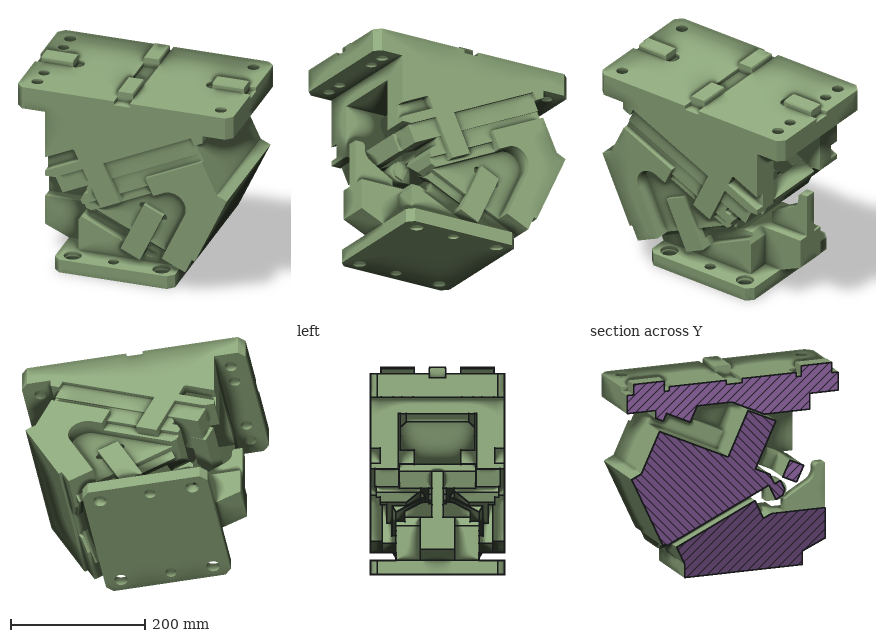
import cadquery as cq
import math


X_DIR = 0
Z_DIR = 90
SLOPE = 25
U_DIR = SLOPE
V_DIR = SLOPE + 90
P_DIR = -SLOPE
Q_DIR = 90 - SLOPE
ROOF_RISE = math.tan(math.radians(30))

LENGTH = 340
HALF_WIDTH = 100.0
HEIGHT = 309.0
CORNER_CHAMFER = 10.0

PLATE_TOP = 299.5
PLATE_BOTTOM = 264.2
KEY_LENGTH = 50.0
KEY_WIDTH = KEY_LENGTH / 2
KEY_SLOT_DEPTH = 6.5
KEY_CHAMFER = 2.5
CROSS_SLOT_X = -2.7
CROSS_KEY_Y = 59.5
END_KEY_X = 134.5
END_SLOT_ARC_X = 108.8
PLATE_HOLE_X = 144.5
SCREW_HOLE_Y = 74.8
SCREW_HOLE_DIAMETER = 18.0
DOWEL_Y = 44.5
DOWEL_DIAMETER = 17

DRIVER_HALF_LENGTH = 124.0
DRIVER_FOOT_Z = 157.8
DRIVER_SEAT_V = 188.7
DRIVER_LIP_V = 176.0
CHANNEL_HALF_WIDTH = 58.0
CHANNEL_CEILING_Z = 239.7
CHANNEL_CEILING_V = 238.7
CHANNEL_END_U = 163.2
SIDE_GROOVE_U = 17
SIDE_GROOVE_V = (202.5, 223.0)
SIDE_GROOVE_FILLET = 3.5
LEG_U = (17, 51)
LEG_FOOT_V = 122.5
RAIL_U = (-33.5, 205.0)
RAIL_OUTER_Y = 94.0
RAIL_SLOT_HALF_WIDTH = 34.5
STOP_U = (-38.8, -13.5)
STOP_HALF_WIDTH = 56.8
STOP_CLEARANCE = 0.7

FLANGE_TOP_V = 160.0
FLANGE_BOTTOM_V = 133.0
FLANGE_HALF_WIDTH = 91.5
STROKE_RELIEF_V = 157.8
STRIP_HALF_WIDTH = 85.5
POCKET_TOP_V = 118.0
WEB_HALF_WIDTH = 75.5
SLIDER_LEFT_U = -12.5
SLIDER_RIGHT_U = 204.7
SLIDER_LEFT_P = -116.0
SLIDER_BOTTOM_Q = 70.5
END_NOTCH_U = 4.0
END_NOTCH_V = 148.0
FACE_P = 79.2
FACE_Q = (95.2, 215.2)
FACE_RELIEF_P = 74.0
CHEEK_LEFT_U = 106.5
CHEEK_TOP_V = 147.5
POCKET_RIGHT_P = 33.3
POCKET_RADIUS = KEY_WIDTH

GROOVE_TOP_Q = 92.0
GROOVE_HALF_WIDTH = 25.0
GROOVE_SHOULDER_Q = 82.5
WEAR_P = (-91.5, 69.0)
WEAR_OUTER = (62.0, 60.2)
WEAR_INNER_Y = 18.5

HEAD_U = (33.0, 83.0)
HEAD_TOP_V = 236.0
HEAD_HALF_WIDTH = 55.5
HEAD_CHAMFER = 9.2
TONGUE_P = (-126.8, -107.0)
TONGUE_Q = (66.3, 89.8)
TONGUE_HALF_WIDTH = 13.0
TONGUE_CHAMFER = 6.8
NOSE_CENTRE = (-71.7, 119.7)
NOSE_RADIUS = 15.5
NOSE_RIGHT_X = -54.5
CLAW_P = (-29.5, 4.0)
CLAW_Q = (37.7, 124.8)
CLAW_Y = (68, 82.5)
HOOK_INNER_Y = 54.5
HOOK_TOP_Q = 49.5
RELIEF_RADIUS = 6.5

BASE_X = (-112.0, 78.0)
BASE_PLATE_TOP = 21.0
BASE_SCREW_X = (-87.0, 53.0)
BASE_HOLE_Y = 80.2
BASE_SCREW_DIAMETER = 20.0
COUNTERBORE_DIAMETER = 27.2
COUNTERBORE_DEPTH = 5.0
BASE_DOWEL_X = -22.8
STEM_LEFT_X = -149.3
STEM_FOOT_Z = 37.7
STEM_HALF_WIDTH = 25.5
RIB_HALF_WIDTH = 8.5
RIB_TOP_Z = 154.0
RIB_RIGHT_Z = 104.0
RIB_NECK_X = -133.0
RIB_TIP_RADIUS = 6.0
RIB_HOLLOW_RADIUS = 20.0
RIB_HOLLOW_TURN = 60
BLOCK_LEFT_X = -84.3
BLOCK_TOP_Z = 85
BLOCK_HALF_WIDTH = 62.0
BLOCK_CHAMFER = (7.8, 12.2)
BLOCK_TOP_Q = 50.5
CLAW_GROOVE_Q = 37.7
CLAW_GROOVE_WALL_Y = 48.5
CLAW_GROOVE_ARC_P = 8.5
ROOF_P = (-78.2, 61.2)
OVERHANG_P = -23.8
ROOF_RIDGE_Q = 82.5


def meet(dir_a, distance_a, dir_b, distance_b):
    """The XZ point that lies at the given distances along two measuring directions."""
    a = math.radians(dir_a)
    b = math.radians(dir_b)
    spread = math.sin(b - a)
    x = (distance_a * math.sin(b) - distance_b * math.sin(a)) / spread
    z = (distance_b * math.cos(a) - distance_a * math.cos(b)) / spread
    return (x, z)


def at_uv(u, v):
    return meet(U_DIR, u, V_DIR, v)


def at_pq(p, q):
    return meet(P_DIR, p, Q_DIR, q)


def profile(y_far):
    return cq.Workplane("XZ", origin=(0, y_far, 0))


def prism(points, y_near, y_far):
    """An XZ outline extruded along Y."""
    return profile(y_far).polyline(points).close().extrude(y_far - y_near)


def middle_prism(points, half_width):
    return prism(points, -half_width, half_width)


def bar(corner, first, second, y_near, y_far):
    """A block square to the sloped axes of `corner`, at_uv or at_pq."""
    points = [
        corner(first[0], second[0]),
        corner(first[1], second[0]),
        corner(first[1], second[1]),
        corner(first[0], second[1]),
    ]
    return prism(points, y_near, y_far)


def both_sides(shape):
    return shape.union(shape.mirror("XZ"))


def p_prism(outline, p_range):
    """A (Y, q) outline extruded along the base joint."""
    angle = math.radians(P_DIR)
    start_x, start_z = at_pq(p_range[0], 0)
    plane = cq.Plane(
        origin=(start_x, 0, start_z),
        xDir=(0, 1, 0),
        normal=(math.cos(angle), 0, math.sin(angle)),
    )
    return cq.Workplane(plane).polyline(outline).close().extrude(p_range[1] - p_range[0])


def roof_prism(half_outline, p_range):
    """A symmetric (Y, q) outline, given for Y > 0, extruded along the base joint."""
    mirrored = [(-y, q) for y, q in reversed(half_outline)]
    return p_prism(half_outline + mirrored, p_range)


def roof_q(y):
    """Height of the sliding roof face at distance y from the middle."""
    return WEAR_OUTER[1] + (WEAR_OUTER[0] - y) * ROOF_RISE


def upright_box(x_range, y_range, z_range):
    return cq.Workplane("XY").box(
        x_range[1] - x_range[0],
        y_range[1] - y_range[0],
        z_range[1] - z_range[0],
        centered=False,
    ).translate((x_range[0], y_range[0], z_range[0]))




def make_key():
    """A key along X, centred on the Z axis, standing on the slot floor."""
    height = HEIGHT - PLATE_TOP + KEY_SLOT_DEPTH
    key = cq.Workplane("XY").box(KEY_LENGTH, KEY_WIDTH, height, centered=(True, True, False))
    key = key.faces(">Z").edges("|X").chamfer(KEY_CHAMFER, KEY_CHAMFER / 2)
    return key.translate((0, 0, PLATE_TOP - KEY_SLOT_DEPTH))


def make_driver_plate():
    plate = upright_box(
        (-LENGTH / 2, LENGTH / 2), (-HALF_WIDTH, HALF_WIDTH), (PLATE_BOTTOM, PLATE_TOP)
    ).edges("|Z").chamfer(CORNER_CHAMFER)
    top = cq.Workplane("XY", origin=(0, 0, PLATE_TOP))
    cross_slot = top.center(CROSS_SLOT_X, 0).rect(KEY_WIDTH, 2 * HALF_WIDTH)
    plate = plate.cut(cross_slot.extrude(-KEY_SLOT_DEPTH))
    for side in (-1, 1):
        end_slot = top.center(side * LENGTH / 2, 0).slot2D(
            LENGTH - 2 * END_SLOT_ARC_X + KEY_WIDTH, KEY_WIDTH
        )
        plate = plate.cut(end_slot.extrude(-KEY_SLOT_DEPTH))
        plate = plate.union(make_key().translate((side * END_KEY_X, 0, 0)))
        cross_key = make_key().rotate((0, 0, 0), (0, 0, 1), 90)
        plate = plate.union(cross_key.translate((CROSS_SLOT_X, side * CROSS_KEY_Y, 0)))
    return plate


def drill_driver_plate(driver):
    screws = [(i * PLATE_HOLE_X, j * SCREW_HOLE_Y) for i in (-1, 1) for j in (-1, 1)]
    dowels = [(-PLATE_HOLE_X, j * DOWEL_Y) for j in (-1, 1)]
    below = cq.Workplane("XY", origin=(0, 0, PLATE_BOTTOM))
    depth = PLATE_TOP - PLATE_BOTTOM
    driver = driver.cut(below.pushPoints(screws).circle(SCREW_HOLE_DIAMETER / 2).extrude(depth))
    return driver.cut(below.pushPoints(dowels).circle(DOWEL_DIAMETER / 2).extrude(depth))


def make_driver_body():
    """Body under the plate, with a channel for the slider head and a groove in each side."""
    outline = [
        (-DRIVER_HALF_LENGTH, PLATE_BOTTOM),
        (-DRIVER_HALF_LENGTH, DRIVER_FOOT_Z),
        meet(Z_DIR, DRIVER_FOOT_Z, V_DIR, DRIVER_SEAT_V),
        at_uv(RAIL_U[1], DRIVER_SEAT_V),
        at_uv(RAIL_U[1], DRIVER_LIP_V),
        meet(X_DIR, DRIVER_HALF_LENGTH, V_DIR, DRIVER_LIP_V),
        (DRIVER_HALF_LENGTH, PLATE_BOTTOM),
    ]
    channel = [
        meet(X_DIR, -DRIVER_HALF_LENGTH, V_DIR, DRIVER_SEAT_V),
        at_uv(CHANNEL_END_U, DRIVER_SEAT_V),
        at_uv(CHANNEL_END_U, CHANNEL_CEILING_V),
        meet(Z_DIR, CHANNEL_CEILING_Z, V_DIR, CHANNEL_CEILING_V),
        (-DRIVER_HALF_LENGTH, CHANNEL_CEILING_Z),
    ]
    groove_u = (-DRIVER_HALF_LENGTH, SIDE_GROOVE_U)
    groove = bar(at_uv, groove_u, SIDE_GROOVE_V, STRIP_HALF_WIDTH, HALF_WIDTH)
    end_x, end_z = at_uv(SIDE_GROOVE_U, SIDE_GROOVE_V[1])
    groove_corner = cq.selectors.NearestToPointSelector((end_x, HALF_WIDTH, end_z))
    groove = groove.edges("|Y").edges(groove_corner).fillet(SIDE_GROOVE_FILLET)
    body = middle_prism(outline, HALF_WIDTH)
    body = body.cut(middle_prism(channel, CHANNEL_HALF_WIDTH))
    return body.cut(both_sides(groove))


def make_legs():
    """Side legs whose feet hook under the slider flange."""
    leg = bar(at_uv, LEG_U, (LEG_FOOT_V, DRIVER_SEAT_V), FLANGE_HALF_WIDTH, HALF_WIDTH)
    foot = bar(at_uv, LEG_U, (LEG_FOOT_V, FLANGE_BOTTOM_V), STRIP_HALF_WIDTH, HALF_WIDTH)
    return both_sides(leg.union(foot))


def make_rails():
    """Two slide rails under the driver, joined at the left by the stop block."""
    levels = (FLANGE_TOP_V, DRIVER_SEAT_V)
    rail = bar(at_uv, RAIL_U, levels, RAIL_SLOT_HALF_WIDTH, RAIL_OUTER_Y)
    stop_space = bar(
        at_uv,
        STOP_U,
        levels,
        RAIL_SLOT_HALF_WIDTH,
        STOP_HALF_WIDTH + STOP_CLEARANCE,
    )
    stop_levels = (FLANGE_TOP_V, DRIVER_SEAT_V - STOP_CLEARANCE)
    stop = bar(at_uv, STOP_U, stop_levels, -STOP_HALF_WIDTH, STOP_HALF_WIDTH)
    return both_sides(rail.cut(stop_space)).union(stop)


def make_driver():
    driver = make_driver_plate().union(make_driver_body())
    driver = driver.union(make_legs()).union(make_rails())
    return drill_driver_plate(driver)




def slider_right_edge():
    """Right-hand outline of the slider, from the top down to the underside."""
    return [
        meet(U_DIR, SLIDER_RIGHT_U, Q_DIR, FACE_Q[1]),
        at_pq(FACE_P, FACE_Q[1]),
        at_pq(FACE_P, FACE_Q[0]),
        at_pq(FACE_RELIEF_P, FACE_Q[0]),
        at_pq(FACE_RELIEF_P, SLIDER_BOTTOM_Q),
    ]


def make_web():
    """Stepped middle of the slider: flange, strip and web, relieved where the stop travels."""
    upper_left = [
        meet(U_DIR, SLIDER_LEFT_U, P_DIR, SLIDER_LEFT_P),
        meet(P_DIR, SLIDER_LEFT_P, V_DIR, FLANGE_TOP_V),
        at_uv(SLIDER_RIGHT_U, FLANGE_TOP_V),
    ]
    lower_left = meet(U_DIR, SLIDER_LEFT_U, Q_DIR, SLIDER_BOTTOM_Q)
    web_outline = upper_left + slider_right_edge() + [lower_left]
    strip_outline = upper_left + [
        at_uv(SLIDER_RIGHT_U, POCKET_TOP_V),
        meet(V_DIR, POCKET_TOP_V, Q_DIR, SLIDER_BOTTOM_Q),
        lower_left,
    ]
    flange_outline = upper_left + [
        at_uv(SLIDER_RIGHT_U, FLANGE_BOTTOM_V),
        at_uv(SLIDER_LEFT_U, FLANGE_BOTTOM_V),
    ]
    web = middle_prism(web_outline, WEB_HALF_WIDTH)
    web = web.union(middle_prism(strip_outline, STRIP_HALF_WIDTH))
    web = web.union(middle_prism(flange_outline, FLANGE_HALF_WIDTH))
    notch = bar(
        at_uv,
        (SLIDER_LEFT_U, END_NOTCH_U),
        (END_NOTCH_V, FLANGE_TOP_V),
        RAIL_SLOT_HALF_WIDTH,
        FLANGE_HALF_WIDTH,
    )
    stroke_relief = bar(
        at_uv,
        (SLIDER_LEFT_U, HEAD_U[0]),
        (STROKE_RELIEF_V, FLANGE_TOP_V),
        -RAIL_SLOT_HALF_WIDTH,
        RAIL_SLOT_HALF_WIDTH,
    )
    return web.cut(both_sides(notch)).cut(stroke_relief)


def make_cheeks():
    """Outer side plates, each with a round-cornered pocket open to the lower left."""
    outline = [
        at_uv(CHEEK_LEFT_U, POCKET_TOP_V),
        at_uv(CHEEK_LEFT_U, CHEEK_TOP_V),
        at_uv(SLIDER_RIGHT_U, CHEEK_TOP_V),
        *slider_right_edge(),
        at_pq(POCKET_RIGHT_P, SLIDER_BOTTOM_Q),
        meet(P_DIR, POCKET_RIGHT_P, V_DIR, POCKET_TOP_V),
    ]
    cheek = prism(outline, WEB_HALF_WIDTH, HALF_WIDTH)
    corner_x, corner_z = outline[-1]
    middle_y = (WEB_HALF_WIDTH + HALF_WIDTH) / 2
    pocket_corner = cq.selectors.NearestToPointSelector((corner_x, middle_y, corner_z))
    cheek = cheek.edges("|Y").edges(pocket_corner).fillet(POCKET_RADIUS)
    return both_sides(cheek)


def cut_roof_groove(slider):
    """Roof-shaped groove along the underside."""
    edge_y = GROOVE_HALF_WIDTH + (GROOVE_SHOULDER_Q - SLIDER_BOTTOM_Q) / ROOF_RISE
    outline = [
        (edge_y, SLIDER_BOTTOM_Q),
        (GROOVE_HALF_WIDTH, GROOVE_SHOULDER_Q),
        (GROOVE_HALF_WIDTH, GROOVE_TOP_Q),
    ]
    return slider.cut(roof_prism(outline, (TONGUE_P[0], FACE_P)))


def make_wear_plates():
    """Inclined plates on the groove flanks, with ends square to their sliding faces."""
    outer_y, outer_q = WEAR_OUTER
    inner_q = roof_q(WEAR_INNER_Y)
    plate = [
        (outer_y, outer_q),
        (WEAR_INNER_Y, inner_q),
        (WEAR_INNER_Y + (GROOVE_TOP_Q - inner_q) * ROOF_RISE, GROOVE_TOP_Q),
        (GROOVE_HALF_WIDTH, GROOVE_TOP_Q),
        (outer_y + (SLIDER_BOTTOM_Q - outer_q) * ROOF_RISE, SLIDER_BOTTOM_Q),
    ]
    return both_sides(p_prism(plate, WEAR_P))


def make_tongue():
    """Tongue at the lower left end, with a chamfered tip."""
    left, right = TONGUE_P
    bottom, top = TONGUE_Q
    outline = [
        at_pq(left, top),
        at_pq(left, bottom + TONGUE_CHAMFER),
        at_pq(left + TONGUE_CHAMFER, bottom),
        at_pq(right, bottom),
        at_pq(right, GROOVE_TOP_Q),
        at_pq(SLIDER_LEFT_P, GROOVE_TOP_Q),
        at_pq(SLIDER_LEFT_P, top),
    ]
    return middle_prism(outline, TONGUE_HALF_WIDTH)


def make_nose():
    """Thin round-ended nose in the middle of the tongue, its top running up along the slope."""
    centre_x, centre_z = NOSE_CENTRE
    across = math.radians(V_DIR)
    tangent_x = centre_x + NOSE_RADIUS * math.cos(across)
    tangent_z = centre_z + NOSE_RADIUS * math.sin(across)
    stem = [
        (tangent_x, tangent_z),
        NOSE_CENTRE,
        (centre_x, centre_z - NOSE_RADIUS),
        (NOSE_RIGHT_X, centre_z - NOSE_RADIUS),
        (NOSE_RIGHT_X, tangent_z + (NOSE_RIGHT_X - tangent_x) * math.tan(math.radians(SLOPE))),
    ]
    tip = profile(RIB_HALF_WIDTH).center(*NOSE_CENTRE).circle(NOSE_RADIUS)
    return tip.extrude(2 * RIB_HALF_WIDTH).union(middle_prism(stem, RIB_HALF_WIDTH))


def make_head():
    """T-shaped head that runs in the driver channel, its neck passing between the rails."""
    neck = bar(
        at_uv, HEAD_U, (FLANGE_TOP_V, DRIVER_SEAT_V), -RAIL_SLOT_HALF_WIDTH, RAIL_SLOT_HALF_WIDTH
    )
    head = bar(at_uv, HEAD_U, (DRIVER_SEAT_V, HEAD_TOP_V), -HEAD_HALF_WIDTH, HEAD_HALF_WIDTH)
    across = math.radians(V_DIR)
    top = cq.selectors.DirectionMinMaxSelector(cq.Vector(math.cos(across), 0, math.sin(across)))
    side_edges = cq.selectors.ParallelDirSelector(
        cq.Vector(math.sin(across), 0, -math.cos(across))
    )
    head = head.faces(top).edges(side_edges).chamfer(HEAD_CHAMFER)
    return neck.union(head)


def claw_recess():
    """Recess for the claw in the web, with round corner reliefs."""
    recess = bar(at_pq, CLAW_P, CLAW_Q, CLAW_Y[0], WEB_HALF_WIDTH)
    for side_p in CLAW_P:
        relief = profile(WEB_HALF_WIDTH).center(*at_pq(side_p, CLAW_Q[1] - RELIEF_RADIUS))
        recess = recess.union(relief.circle(RELIEF_RADIUS).extrude(WEB_HALF_WIDTH - CLAW_Y[0]))
    return both_sides(recess)


def make_claws():
    """Claws that hook under the overhang of the base."""
    claw = bar(at_pq, CLAW_P, CLAW_Q, *CLAW_Y)
    hook = bar(at_pq, CLAW_P, (CLAW_Q[0], HOOK_TOP_Q), HOOK_INNER_Y, CLAW_Y[0])
    return both_sides(claw.union(hook))


def make_slider():
    slider = make_web().union(make_cheeks())
    slider = cut_roof_groove(slider)
    slider = slider.union(make_wear_plates())
    slider = slider.union(make_tongue()).union(make_nose()).union(make_head())
    return slider.cut(claw_recess()).union(make_claws())




def make_base_plate():
    plate = upright_box(BASE_X, (-HALF_WIDTH, HALF_WIDTH), (0, BASE_PLATE_TOP))
    plate = plate.edges("|Z").chamfer(CORNER_CHAMFER)
    screws = [(x, j * BASE_HOLE_Y) for x in BASE_SCREW_X for j in (-1, 1)]
    dowels = [(BASE_DOWEL_X, j * BASE_HOLE_Y) for j in (-1, 1)]
    top = plate.faces(">Z").workplane(origin=(0, 0, BASE_PLATE_TOP))
    plate = top.pushPoints(screws).cboreHole(
        BASE_SCREW_DIAMETER, COUNTERBORE_DIAMETER, COUNTERBORE_DEPTH
    )
    top = plate.faces(">Z").workplane(origin=(0, 0, BASE_PLATE_TOP))
    return top.pushPoints(dowels).hole(DOWEL_DIAMETER)


def make_stem():
    """Overhanging block at the left end, with a foot sloping down to the plate."""
    right_x = BLOCK_LEFT_X + BLOCK_CHAMFER[0]
    outline = [
        (STEM_LEFT_X, BLOCK_TOP_Z),
        (STEM_LEFT_X, STEM_FOOT_Z),
        (BASE_X[0], BASE_PLATE_TOP),
        (right_x, BASE_PLATE_TOP),
        (right_x, BLOCK_TOP_Z),
    ]
    return middle_prism(outline, STEM_HALF_WIDTH)


def make_rib():
    """Thin rib on the stem, its top running down to the right at the roof pitch."""
    turn = math.radians(RIB_HOLLOW_TURN)
    hollow_end_x = RIB_NECK_X + RIB_HOLLOW_RADIUS * (1 - math.cos(turn))
    hollow_end_z = RIB_RIGHT_Z + (BLOCK_LEFT_X - hollow_end_x) * ROOF_RISE
    hollow_start_z = hollow_end_z + RIB_HOLLOW_RADIUS * math.sin(turn)
    outline = (
        profile(RIB_HALF_WIDTH)
        .moveTo(STEM_LEFT_X, BLOCK_TOP_Z)
        .lineTo(STEM_LEFT_X, RIB_TOP_Z)
        .lineTo(RIB_NECK_X - RIB_TIP_RADIUS, RIB_TOP_Z)
        .radiusArc((RIB_NECK_X, RIB_TOP_Z - RIB_TIP_RADIUS), RIB_TIP_RADIUS)
        .lineTo(RIB_NECK_X, hollow_start_z)
        .radiusArc((hollow_end_x, hollow_end_z), -RIB_HOLLOW_RADIUS)
        .lineTo(BLOCK_LEFT_X, RIB_RIGHT_Z)
        .lineTo(BLOCK_LEFT_X, BLOCK_TOP_Z)
        .close()
    )
    return outline.extrude(2 * RIB_HALF_WIDTH)


def make_block():
    """Wedge block under the slide, with a claw groove along the upper edge of each side."""
    chamfer_x, chamfer_z = BLOCK_CHAMFER
    outline = [
        (BLOCK_LEFT_X, BASE_PLATE_TOP),
        (BLOCK_LEFT_X, BLOCK_TOP_Z - chamfer_z),
        (BLOCK_LEFT_X + chamfer_x, BLOCK_TOP_Z),
        meet(Z_DIR, BLOCK_TOP_Z, Q_DIR, BLOCK_TOP_Q),
        meet(Z_DIR, BASE_PLATE_TOP, Q_DIR, BLOCK_TOP_Q),
    ]
    block = middle_prism(outline, BLOCK_HALF_WIDTH)
    groove_depth = BLOCK_TOP_Q - CLAW_GROOVE_Q
    groove_start_p = STEM_LEFT_X
    above_q = BLOCK_TOP_Z
    half_turn = math.radians(45)
    arc_middle = at_pq(
        CLAW_GROOVE_ARC_P + groove_depth * math.sin(half_turn),
        BLOCK_TOP_Q - groove_depth * math.cos(half_turn),
    )
    groove = (
        profile(BLOCK_HALF_WIDTH)
        .moveTo(*at_pq(groove_start_p, CLAW_GROOVE_Q))
        .lineTo(*at_pq(CLAW_GROOVE_ARC_P, CLAW_GROOVE_Q))
        .threePointArc(arc_middle, at_pq(CLAW_GROOVE_ARC_P + groove_depth, BLOCK_TOP_Q))
        .lineTo(*at_pq(CLAW_GROOVE_ARC_P + groove_depth, above_q))
        .lineTo(*at_pq(groove_start_p, above_q))
        .close()
        .extrude(BLOCK_HALF_WIDTH - CLAW_GROOVE_WALL_Y)
    )
    return block.cut(both_sides(groove))


def roof_outline(half_width):
    ridge_y = WEAR_OUTER[0] - (ROOF_RIDGE_Q - WEAR_OUTER[1]) / ROOF_RISE
    return [(half_width, BLOCK_TOP_Q), (half_width, roof_q(half_width)), (ridge_y, ROOF_RIDGE_Q)]


def make_roof():
    """Roof-shaped slide guide; past OVERHANG_P it widens over the claw grooves."""
    narrow = roof_prism(roof_outline(CLAW_GROOVE_WALL_Y), ROOF_P)
    wide = roof_prism(roof_outline(BLOCK_HALF_WIDTH), (OVERHANG_P, ROOF_P[1]))
    return narrow.union(wide)


def make_base():
    base = make_base_plate().union(make_stem()).union(make_rib())
    return base.union(make_block()).union(make_roof())


driver = make_driver()
slider = make_slider()
base = make_base()
result = cq.Compound.makeCompound([driver.val(), slider.val(), base.val()])